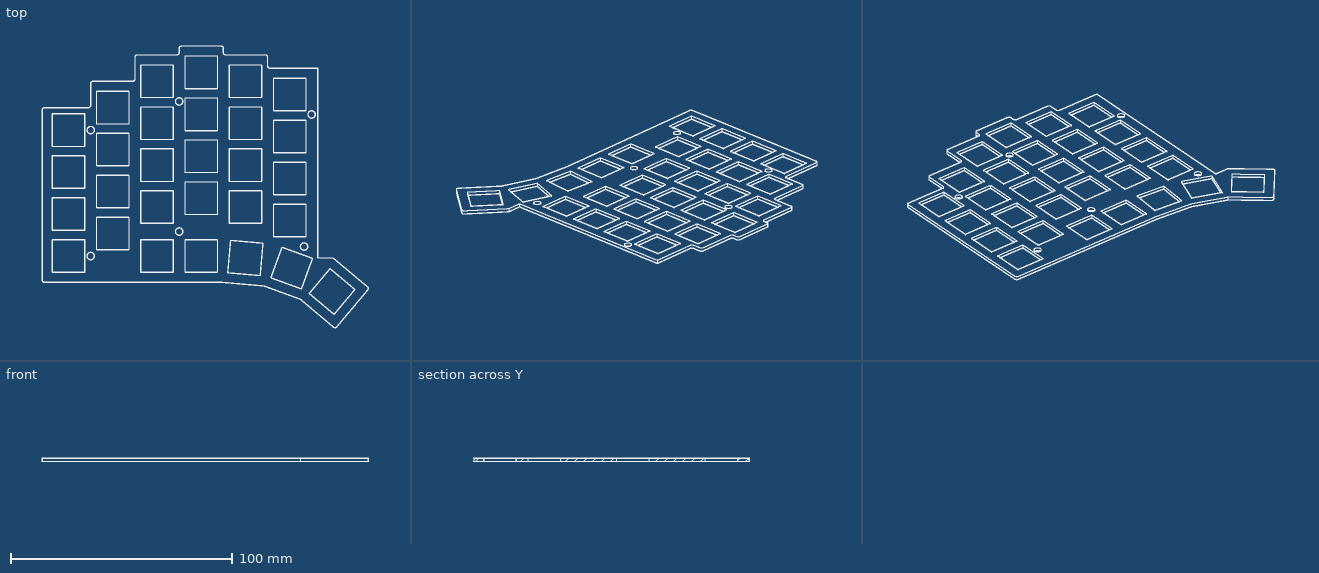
import cadquery as cq
import math

length = 147.5
width = 127.5
thickness = 1.6
corner_radius = 1.0
key_margin = 12.0
first_column_margin = 10.2
right_margin = 12.7

cutout = 14.6
column_count = 6
row_count = 4
field_length = 100.0
column_height = 57.0
column_pitch = field_length / (column_count - 1)
row_pitch = column_height / (row_count - 1)
column_base = [0, 10.2, 22.1, 26.1, 22.1, 16.1]

inline_columns = [2, 3]

last_tilt = 40
tilt_spread = math.cos(math.radians(last_tilt)) + math.sin(math.radians(last_tilt))
last_reach = key_margin * tilt_spread - corner_radius * (tilt_spread - 1)
last_x = length - key_margin - last_reach
plate_top = max(column_base) + column_height + key_margin
last_y = plate_top - width + last_reach
thumb_keys = [(80.0, -0.9, 5), (100.9, -5.5, 20), (last_x, last_y, last_tilt)]
shoulder_height = -0.9

hole_diameter = 3.2
first_gap = column_pitch / 2
third_gap = first_gap + 2 * column_pitch
hole_centres = [
    (first_gap, 0),
    (first_gap, column_height),
    (third_gap, 11.0),
    (third_gap, 70.0),
    (106.5, 4.3),
    (109.9, 64.0),
]


def edge_beside_key(x, y, tilt, side):
    """Plate edge above (side=1) or below (side=-1) a key, as normal (a, b) and c in a*x + b*y = c."""
    a = math.sin(math.radians(tilt))
    b = math.cos(math.radians(tilt))
    return a, b, a * x + b * y + side * key_margin


def crossing(first, second):
    """Point where two edges a*x + b*y = c meet."""
    a1, b1, c1 = first
    a2, b2, c2 = second
    det = a1 * b2 - a2 * b1
    return (c1 * b2 - c2 * b1) / det, (a1 * c2 - a2 * c1) / det


def stepped_top():
    """Outline points along the staggered column tops, left to right."""
    points = []
    left = -key_margin
    for column, base in enumerate(column_base):
        margin = first_column_margin if column == 0 else key_margin
        top = base + column_height + margin
        last = column == column_count - 1
        right = column * column_pitch + (right_margin if last else column_pitch / 2)
        points += [(left, top), (right, top)]
        left = right
    return points


def thumb_outline():
    """Outline points from the shoulder round the last thumb key and back under the others."""
    upper_edge = edge_beside_key(last_x, last_y, last_tilt, 1)
    outer_end = edge_beside_key(last_x, last_y, last_tilt + 90, 1)
    shoulder = (0, 1, shoulder_height)
    lower_edges = [edge_beside_key(*key, -1) for key in reversed(thumb_keys)]
    lower_edges.append(edge_beside_key(0, 0, 0, -1))
    chain = [shoulder, upper_edge, outer_end] + lower_edges
    return [crossing(chain[i], chain[i + 1]) for i in range(len(chain) - 1)]


def key_cutter(x, y, tilt=0):
    """Square cutter through the plate, turned clockwise by tilt."""
    square = cq.Workplane("XY").rect(cutout, cutout).extrude(thickness)
    return square.rotate((0, 0, 0), (0, 0, 1), -tilt).translate((x, y, 0))


top_points = stepped_top()
shoulder_corner = (top_points[-1][0], shoulder_height)
thumb_points = thumb_outline()
lower_left = (-key_margin, -key_margin)
outline = top_points + [shoulder_corner] + thumb_points + [lower_left]
plate = cq.Workplane("XY").polyline(outline).close().extrude(thickness)

rounded = top_points[:-1] + thumb_points[1:3] + [lower_left]
for x, y in rounded:
    corner = cq.selectors.NearestToPointSelector((x, y, thickness / 2))
    plate = plate.edges("|Z").edges(corner).fillet(corner_radius)

key_places = [
    (column * column_pitch, base + row * row_pitch)
    for column, base in enumerate(column_base)
    for row in range(row_count)
]
key_places += [(column * column_pitch, 0) for column in inline_columns]
key_places += thumb_keys
for place in key_places:
    plate = plate.cut(key_cutter(*place))

holes = cq.Workplane("XY").pushPoints(hole_centres).circle(hole_diameter / 2).extrude(thickness)
result = plate.cut(holes)